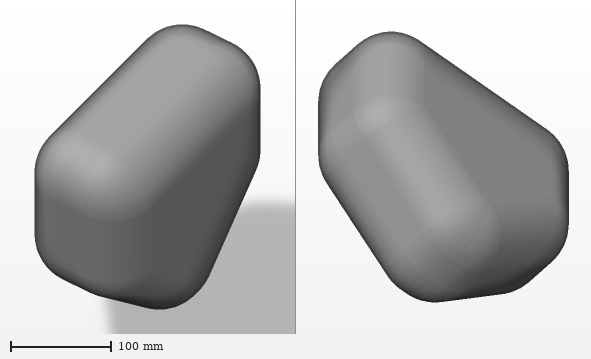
import cadquery as cq

thickness = 134.0
width = 270.0
height = 267.8

edge_radius = 50.0

face_shoulder_drop = 136.5
face_tip_half_width = 3.8

face_half_width = width / 2 - edge_radius
face_top = height / 2 - edge_radius
face_shoulder = height / 2 - face_shoulder_drop
face_tip = -height / 2 + edge_radius

face_outline = [
    (-face_half_width, face_top),
    (face_half_width, face_top),
    (face_half_width, face_shoulder),
    (face_tip_half_width, face_tip),
    (-face_tip_half_width, face_tip),
    (-face_half_width, face_shoulder),
]

prism = (
    cq.Workplane("YZ")
    .polyline(face_outline)
    .close()
    .offset2D(edge_radius, "intersection")
    .extrude(thickness / 2, both=True)
)

result = prism.edges().fillet(edge_radius)